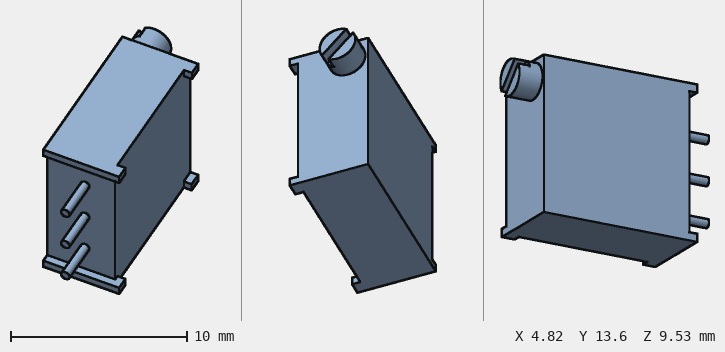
import cadquery as cq

total_length = 13.55
screw_length = 1.5
pin_length = 2.0
body_width = 4.82
body_height = 9.53
body_length = total_length - screw_length - pin_length

rim_thickness = 0.5
recess_depth = 0.5
foot_length = 0.8
long_foot_length = 0.84

pin_diameter = 0.54
pin_pitch = 2.53
pin_count = 3

screw_diameter = 2.2
screw_inset = 1.26
slot_width = 0.58
slot_depth = 0.76
slot_angle = 45.0

side_x = body_width / 2
top_z = body_height / 2


def box_between(low, high):
    """Axis-aligned box from its lowest corner to its highest corner."""
    size = [b - a for a, b in zip(low, high)]
    return cq.Workplane("XY").box(*size, centered=False).translate(low)


def rod(x, z, start_y, end_y, diameter):
    """Round rod along +Y."""
    plane = cq.Plane(origin=(x, start_y, z), xDir=(1, 0, 0), normal=(0, 1, 0))
    return cq.Workplane(plane).circle(diameter / 2).extrude(end_y - start_y)


def make_body():
    """Housing recessed between its rims on the pin end and feet on +X."""
    recessed_x = side_x - recess_depth
    body = box_between((-side_x, recess_depth, -top_z), (recessed_x, body_length, top_z))

    bottom_rim_z = -top_z
    top_rim_z = top_z - rim_thickness
    for rim_z, rear_foot_length in (
        (bottom_rim_z, long_foot_length),
        (top_rim_z, foot_length),
    ):
        rim_top = rim_z + rim_thickness
        rim = box_between((-side_x, 0, rim_z), (recessed_x, recess_depth, rim_top))
        front_foot = box_between((recessed_x, 0, rim_z), (side_x, foot_length, rim_top))
        rear_foot = box_between(
            (recessed_x, body_length - rear_foot_length, rim_z),
            (side_x, body_length, rim_top),
        )
        body = body.union(rim).union(front_foot).union(rear_foot)
    return body


def make_screw():
    """Round screw head with a diagonal slot across its outer end."""
    axis_x = -side_x + screw_inset
    axis_z = top_z - screw_inset
    end_y = body_length + screw_length
    head = rod(axis_x, axis_z, body_length, end_y, screw_diameter)
    slot = (
        cq.Workplane("XY")
        .box(2 * screw_diameter, slot_depth, slot_width)
        .rotate((0, 0, 0), (0, 1, 0), slot_angle)
        .translate((axis_x, end_y - slot_depth / 2, axis_z))
    )
    return head.cut(slot)


result = make_body().union(make_screw())
for index in range(pin_count):
    pin_z = (index - (pin_count - 1) / 2) * pin_pitch
    result = result.union(rod(0, pin_z, -pin_length, recess_depth, pin_diameter))